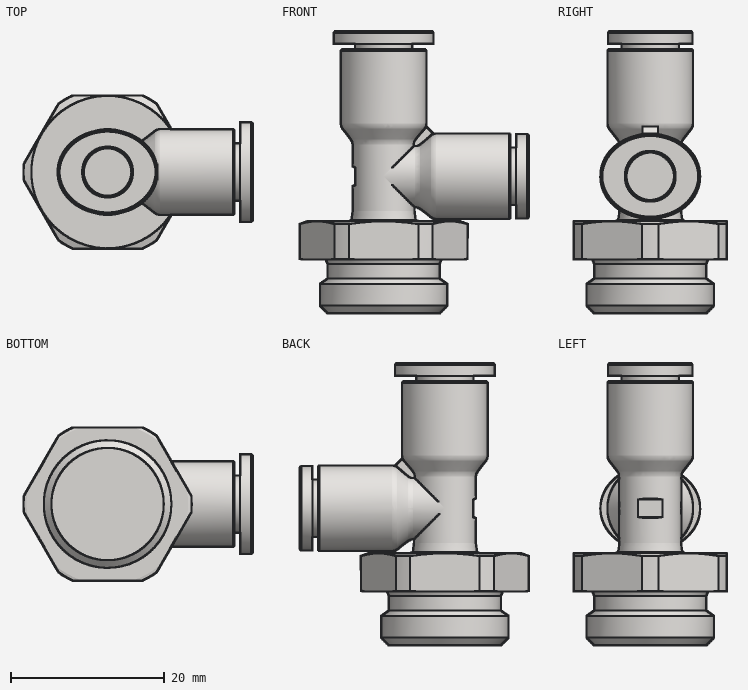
import cadquery as cq
import math

total_height = 36.85
port_length = 18.98
branch_z = total_height - port_length

thread_radius = 8.33
neck_radius = 7.35
spigot_chamfer = 1.0
thread_top_z = 3.85
neck_bottom_z = 4.55
neck_top_z = 6.45
neck_flare_radius = 7.55

hex_bottom_z = 7.0
hex_top_z = 12.0
hex_across_flats = 20.0
hex_corner_radius = 10.98
hex_top_land_radius = 9.95
hex_top_chamfer_height = 0.37
hex_bottom_land_radius = 10.55
hex_bottom_chamfer_height = 0.1

stem_radius = 4.05
stem_foot_radius = 4.2
stem_foot_height = 0.2
stem_flare_radius = 4.5
stem_taper_top_z = 13.35

socket_radius = 5.6
cone_start = 4.5
cone_end = 6.5
cone_blend_radius = 1.1
socket_end = 16.6
socket_chamfer = 0.22
collet_radius = 3.75
collet_flange_start = 17.3
flange_half_length = 6.52
flange_half_width = 5.53
flange_chamfer = 0.25
bore_radius = 3.1
bore_chamfer = 0.22
bore_depth = 12.15

web_thickness = 2.0

recess_depth = 0.35
recess_floor_height = 2.3
recess_opening_height = 2.58


def revolve_z(points):
    """Solid of revolution about Z from (radius, z) points that start and end on the axis."""
    return cq.Workplane("XZ").polyline(points).close().revolve(360, (0, 0, 0), (0, 1, 0))


def spigot():
    return revolve_z([
        (0, 0),
        (thread_radius - spigot_chamfer, 0),
        (thread_radius, spigot_chamfer),
        (thread_radius, thread_top_z),
        (neck_radius, neck_bottom_z),
        (neck_radius, neck_top_z),
        (neck_flare_radius, hex_bottom_z),
        (0, hex_bottom_z),
    ])


def hex_nut():
    across_corners = hex_across_flats / math.cos(math.pi / 6)
    prism = (
        cq.Workplane("XY")
        .workplane(offset=hex_bottom_z)
        .polygon(6, across_corners)
        .extrude(hex_top_z - hex_bottom_z)
    )
    turned_envelope = revolve_z([
        (0, hex_bottom_z),
        (hex_bottom_land_radius, hex_bottom_z),
        (hex_corner_radius, hex_bottom_z + hex_bottom_chamfer_height),
        (hex_corner_radius, hex_top_z - hex_top_chamfer_height),
        (hex_top_land_radius, hex_top_z),
        (0, hex_top_z),
    ])
    return prism.intersect(turned_envelope)


def stem():
    return revolve_z([
        (0, hex_top_z),
        (stem_flare_radius, hex_top_z),
        (stem_foot_radius, hex_top_z + stem_foot_height),
        (stem_radius, stem_taper_top_z),
        (stem_radius, branch_z),
        (0, branch_z),
    ])


def port():
    """Port body along +Z from the origin, with its oval collet; the long side of the oval is X."""
    body = revolve_z([
        (0, 0),
        (stem_radius, 0),
        (stem_radius, cone_start),
        (socket_radius, cone_end),
        (socket_radius, socket_end),
        (0, socket_end),
    ])
    cone = body.faces("%CONE")
    body = cone.edges("%CIRCLE").fillet(cone_blend_radius)
    body = body.faces(">Z").edges().chamfer(socket_chamfer)
    collet = (
        cq.Workplane("XY")
        .workplane(offset=socket_end)
        .circle(collet_radius)
        .extrude(collet_flange_start - socket_end)
    )
    flange = (
        cq.Workplane("XY")
        .workplane(offset=collet_flange_start)
        .ellipse(flange_half_length, flange_half_width)
        .extrude(port_length - collet_flange_start)
        .faces(">Z")
        .edges()
        .chamfer(flange_chamfer)
    )
    return body.union(collet).union(flange)


def port_bore():
    """Blind tube bore of a port along +Z, with a chamfered mouth."""
    return revolve_z([
        (0, port_length - bore_depth),
        (bore_radius, port_length - bore_depth),
        (bore_radius, port_length - bore_chamfer),
        (bore_radius + bore_chamfer, port_length),
        (0, port_length),
    ])


def at_top(shape):
    return shape.translate((0, 0, branch_z))


def at_branch(shape):
    """Turn a +Z port to +X, with the long side of its oval along Y."""
    upright = shape.rotate((0, 0, 0), (0, 0, 1), 90)
    return at_top(upright.rotate((0, 0, 0), (0, 1, 0), 90))


def corner_web():
    """Triangular web whose free edge joins the two socket shoulders at 45 degrees."""
    leg = socket_radius + cone_end
    return (
        cq.Workplane("XZ")
        .moveTo(socket_radius, branch_z + cone_end)
        .lineTo(leg - socket_radius, branch_z + socket_radius)
        .lineTo(0, branch_z)
        .close()
        .extrude(web_thickness / 2, both=True)
    )


def stem_recess():
    """Cutter with a flat floor across the stem and sloped upper and lower walls."""
    floor_x = recess_depth - stem_radius
    return (
        cq.Workplane("XZ")
        .moveTo(floor_x, branch_z - recess_floor_height / 2)
        .lineTo(floor_x, branch_z + recess_floor_height / 2)
        .lineTo(-stem_radius, branch_z + recess_opening_height / 2)
        .lineTo(-stem_radius, branch_z - recess_opening_height / 2)
        .close()
        .extrude(stem_radius, both=True)
    )


result = (
    spigot()
    .union(hex_nut())
    .union(stem())
    .union(at_top(port()))
    .union(at_branch(port()))
    .union(corner_web())
    .cut(at_top(port_bore()))
    .cut(at_branch(port_bore()))
    .cut(stem_recess())
)